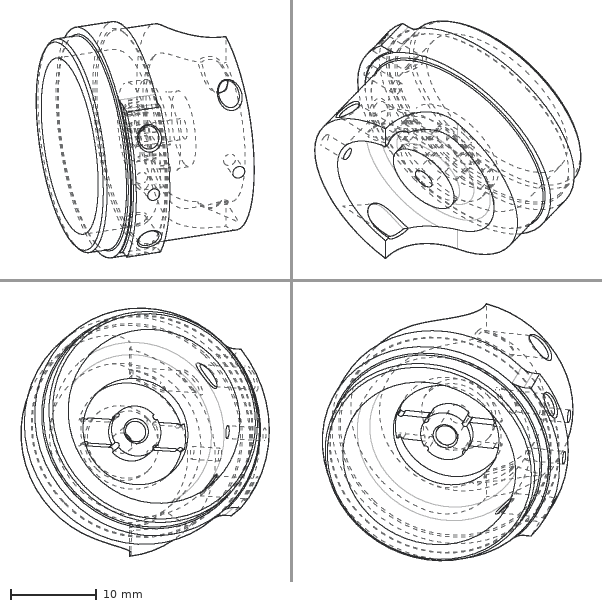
import cadquery as cq
import math

total_length = 18.6
barrel_radius = 12.7
rim_chamfer = 0.35
collar_radius = 13.72
collar_start = 2.93
collar_end = 7.5
collar_root = 0.17

pad_radius = 14.98
pad_half_height = 9.6
pad_start = 3.21
pad_end = 7.38
pad_blend_start_x = 9.27
pad_blend_end_x = 10.65
pad_blend_sag = 0.11
pad_root = 0.17

bore_radius = 10.48
bore_depth = 8.06
floor_fillet = 1.2
pocket_radius = 6.4
pocket_depth = 10.42
bar_half_width = 1.52
bar_level = 9.0
relief_radius = 0.35
bar_relief_x = 5.77
bar_relief_z = 1.7
hub_radius = 3.0
hub_level = 7.75
hub_relief_x = 2.4
hub_relief_z = bar_half_width + relief_radius
shaft_hole_radius = 1.23
shaft_hole_chamfer = 0.25

recess_radius = 9.33
recess_floor = 11.85
boss_radius = 4.5
boss_end = 14.12
saddle_floor = 12.57
saddle_edge_x = 2.2

large_hole_radius = 1.23
large_hole_chamfer = 0.245
small_hole_radius = 0.75
lug_hole_y = 16.67
lug_hole_z = 8.55
pad_hole_y = 5.37
pad_hole_z = 6.65

overlap = 0.3


def cylinder(radius, start, end):
    """Cylinder on the main axis between two Y positions."""
    return cq.Workplane("XZ", origin=(0, start, 0)).circle(radius).extrude(start - end)


def ring_fillet_selector(radius, y):
    """Select the circular edge of a given radius at a given Y."""
    reach = radius + 0.03
    outer = cq.selectors.BoxSelector((-reach, y - 0.03, -reach), (reach, y + 0.03, reach), boundingbox=True)
    inner_reach = radius - 0.03
    inner = cq.selectors.BoxSelector(
        (-inner_reach, y - 0.03, -inner_reach), (inner_reach, y + 0.03, inner_reach), boundingbox=True
    )
    return outer - inner


def cone(start_radius, start, end_radius, end):
    """Frustum on the main axis between two Y positions."""
    outline = [(0, start), (start_radius, start), (end_radius, end), (0, end)]
    return cq.Workplane("XY").polyline(outline).close().revolve(360, (0, 0, 0), (0, 1, 0))


def make_barrel():
    barrel = cylinder(barrel_radius, 0, total_length).faces("<Y").chamfer(rim_chamfer)
    collar = cylinder(collar_radius, collar_start, collar_end)
    front_root = cone(barrel_radius, collar_start - collar_root, barrel_radius + collar_root, collar_start)
    rear_root = cone(barrel_radius + collar_root, collar_end, barrel_radius, collar_end + collar_root)
    return barrel.union(collar).union(front_root).union(rear_root)


def pad_prism(start, end):
    """Pad outline with concave blends at both ends, extruded between two Y positions."""
    corner_x = math.sqrt(pad_radius**2 - pad_half_height**2)
    blend_start_z = math.sqrt(collar_radius**2 - pad_blend_start_x**2)
    middle_x = (pad_blend_start_x + pad_blend_end_x) / 2
    middle_z = (blend_start_z + pad_half_height) / 2 - pad_blend_sag
    return (
        cq.Workplane("XZ", origin=(0, start, 0))
        .moveTo(pad_blend_start_x, -blend_start_z)
        .lineTo(pad_blend_start_x, blend_start_z)
        .threePointArc((middle_x, middle_z), (pad_blend_end_x, pad_half_height))
        .lineTo(corner_x, pad_half_height)
        .threePointArc((pad_radius, 0), (corner_x, -pad_half_height))
        .lineTo(pad_blend_end_x, -pad_half_height)
        .threePointArc((middle_x, -middle_z), (pad_blend_start_x, -blend_start_z))
        .close()
        .extrude(start - end)
    )


def make_pad():
    """Raised pad with sloped roots where its end faces meet the collar."""
    root_radius = collar_radius + pad_root
    front_root = cone(collar_radius, pad_start - pad_root, root_radius, pad_start)
    rear_root = cone(root_radius, pad_end, collar_radius, pad_end + pad_root)
    roots = pad_prism(collar_start, collar_end).intersect(front_root.union(rear_root))
    return pad_prism(pad_start, pad_end).union(roots)


def make_pocket():
    """Round pocket holding a cross bar and a central hub."""
    pocket = cylinder(pocket_radius, bore_depth - overlap, pocket_depth)
    bar = (
        cq.Workplane("XZ", origin=(0, bar_level, 0))
        .rect(2 * pocket_radius, 2 * bar_half_width)
        .extrude(bar_level - pocket_depth)
    )
    return pocket.cut(bar.cut(corner_reliefs(bar_relief_x, bar_relief_z)))


def corner_reliefs(x, z):
    """Four round relief cuts placed symmetrically about the main axis."""
    return (
        cq.Workplane("XZ", origin=(0, hub_level, 0))
        .rect(2 * x, 2 * z, forConstruction=True)
        .vertices()
        .circle(relief_radius)
        .extrude(hub_level - pocket_depth)
    )


def make_hub():
    hub = cylinder(hub_radius, hub_level, pocket_depth)
    return hub.cut(corner_reliefs(hub_relief_x, hub_relief_z))


def make_boss():
    """Recess floor carrying the central boss with a filleted root."""
    floor = cylinder(recess_radius + overlap, recess_floor - overlap, recess_floor)
    boss = floor.union(cylinder(boss_radius, recess_floor - overlap, boss_end))
    return boss.edges(ring_fillet_selector(boss_radius, recess_floor)).fillet(floor_fillet)


def make_recess():
    recess = cylinder(recess_radius, recess_floor, total_length + overlap)
    recess = recess.edges(ring_fillet_selector(recess_radius, recess_floor)).fillet(floor_fillet)
    return recess.cut(make_boss())


def make_saddle():
    """Material removed above the rear face, leaving the lug on the +X side."""
    radius = total_length - saddle_floor
    far = barrel_radius + overlap
    top = total_length + overlap
    half = math.sqrt(0.5) * radius
    centre_x = saddle_edge_x - radius
    cut = (
        cq.Workplane("XY")
        .moveTo(-far, saddle_floor)
        .lineTo(centre_x, saddle_floor)
        .threePointArc((centre_x + half, total_length - half), (saddle_edge_x, total_length))
        .lineTo(saddle_edge_x, top)
        .lineTo(-far, top)
        .close()
        .extrude(far, both=True)
    )
    return cut.cut(make_boss())


def cross_hole(radius, y, z):
    """Hole parallel to X, running from the main axis out through the +X side."""
    return cq.Workplane("YZ").center(y, z).circle(radius).extrude(pad_radius + overlap)


def chamfer_hole(part, y, z):
    """Break both rims of a large cross hole."""
    reach = large_hole_radius + 0.03
    low_corner = (0, y - reach, z - reach)
    high_corner = (pad_radius, y + reach, z + reach)
    rims = cq.selectors.BoxSelector(low_corner, high_corner, boundingbox=True)
    return part.edges(rims).edges("not #YZ").chamfer(large_hole_chamfer)


body = make_barrel().union(make_pad())
bore = cylinder(bore_radius, -overlap, bore_depth)
bore = bore.edges(ring_fillet_selector(bore_radius, bore_depth)).fillet(floor_fillet)
body = body.cut(bore).cut(make_pocket()).cut(make_saddle()).cut(make_recess()).union(make_hub())

shaft_hole = cylinder(shaft_hole_radius, 0, total_length)
shaft_chamfer = cone(
    shaft_hole_radius + shaft_hole_chamfer, hub_level, shaft_hole_radius, hub_level + shaft_hole_chamfer
)
body = body.cut(shaft_hole).cut(shaft_chamfer)

for hole_y in (lug_hole_y, pad_hole_y):
    body = body.cut(cross_hole(small_hole_radius, hole_y, 0))

for hole_y, hole_z in ((pad_hole_y, pad_hole_z), (lug_hole_y, lug_hole_z)):
    for side in (-1, 1):
        body = body.cut(cross_hole(large_hole_radius, hole_y, side * hole_z))
        body = chamfer_hole(body, hole_y, side * hole_z)

result = body